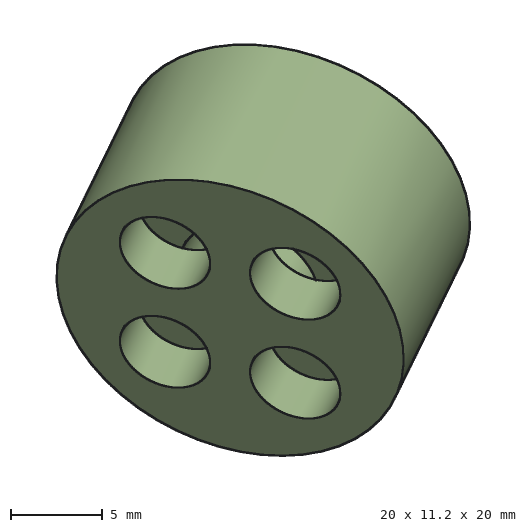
import cadquery as cq

body_diameter = 20
body_length = 11.2

hole_diameter = 5.2
hole_spacing = 7.5
hole_depth = 3.2

bore_diameter = 8
bore_depth = body_length - hole_depth


def cylinder_along_y(diameter, start_y, length, x=0, z=0):
    """Cylinder that starts at start_y and runs toward +Y."""
    return cq.Workplane(
        cq.Solid.makeCylinder(
            diameter / 2, length, cq.Vector(x, start_y, z), cq.Vector(0, 1, 0)
        )
    )


result = cylinder_along_y(body_diameter, 0, body_length)

result = result.cut(cylinder_along_y(bore_diameter, hole_depth, bore_depth))

for x_side in (-1, 1):
    for z_side in (-1, 1):
        hole_x = x_side * hole_spacing / 2
        hole_z = z_side * hole_spacing / 2
        result = result.cut(cylinder_along_y(hole_diameter, 0, hole_depth, hole_x, hole_z))